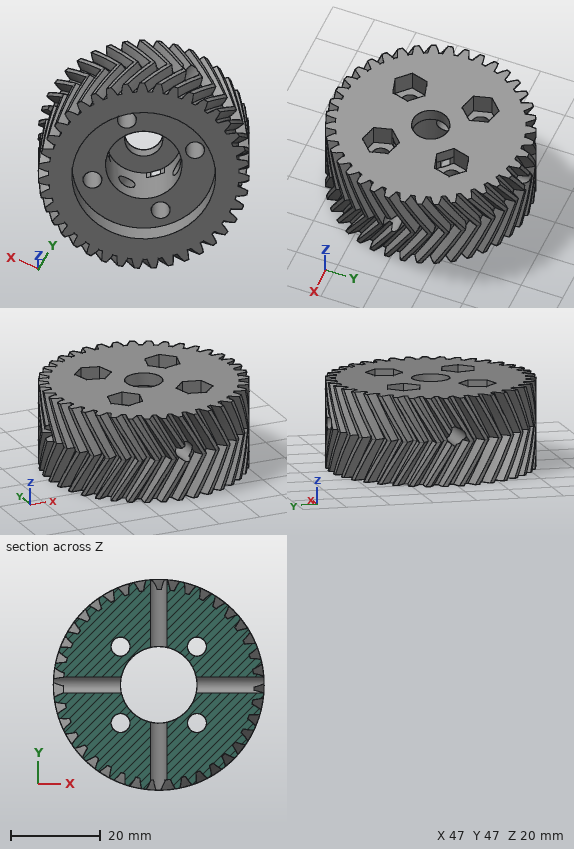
import cadquery as cq
import math

tooth_count = 39
outer_radius = 23.5
root_radius = 21.25
height = 20.0
half_height = height / 2
half_twist = 15.0
first_tooth_angle = 90.0

tip_half_angle = 1.3
middle_half_angle = 2.45
root_half_angle = 3.4

bore_diameter = 8.5
hub_recess_diameter = 17.0
hub_recess_roof = 3.0
rim_recess_diameter = 32.0
rim_recess_depth = height / 4

bolt_offset = 8.5
bolt_hole_diameter = 4.2
nut_flats = 7.2
nut_diameter = nut_flats / math.cos(math.pi / 6)
nut_pocket_depth = height / 4
nut_corner_angle = 15.0

radial_hole_diameter = 4.0
radial_hole_z = (rim_recess_depth - hub_recess_roof) / 2


def polar(radius, degrees):
    angle = math.radians(degrees)
    return (radius * math.cos(angle), radius * math.sin(angle))


def gear_outline(plane):
    """Closed tooth outline: curved flanks joined by tip and root arcs."""
    pitch = 360 / tooth_count
    middle_radius = (outer_radius + root_radius) / 2
    outline = plane.moveTo(*polar(root_radius, first_tooth_angle - root_half_angle))
    for tooth in range(tooth_count):
        centre = first_tooth_angle + tooth * pitch
        outline = (
            outline
            .threePointArc(
                polar(middle_radius, centre - middle_half_angle),
                polar(outer_radius, centre - tip_half_angle),
            )
            .threePointArc(
                polar(outer_radius, centre),
                polar(outer_radius, centre + tip_half_angle),
            )
            .threePointArc(
                polar(middle_radius, centre + middle_half_angle),
                polar(root_radius, centre + root_half_angle),
            )
            .threePointArc(
                polar(root_radius, centre + pitch / 2),
                polar(root_radius, centre + pitch - root_half_angle),
            )
        )
    return outline.close()


def herringbone_body():
    """Two mirrored helical halves that meet in a V at the mid plane."""
    mid_plane = cq.Workplane("XY").transformed(rotate=(0, 0, half_twist))
    upper = gear_outline(mid_plane).twistExtrude(half_height, -half_twist)
    return upper.union(upper.mirror("XY"))


def axial_cutter(diameter, depth):
    """Cylinder on the gear axis, reaching up from the bottom face."""
    return cq.Workplane("XY", origin=(0, 0, -half_height)).circle(diameter / 2).extrude(depth)


def nut_pocket(x_side, y_side):
    """Hexagonal pocket; neighbouring pockets are mirror images of each other."""
    corner_angle = nut_corner_angle * x_side * y_side
    return (
        cq.Workplane("XY")
        .polygon(6, nut_diameter)
        .extrude(nut_pocket_depth)
        .rotate((0, 0, 0), (0, 0, 1), corner_angle)
        .translate((x_side * bolt_offset, y_side * bolt_offset, half_height - nut_pocket_depth))
    )


def radial_hole(plane_name):
    """Hole straight across the gear, normal to the named plane."""
    return (
        cq.Workplane(plane_name, origin=(0, 0, radial_hole_z))
        .circle(radial_hole_diameter / 2)
        .extrude(outer_radius, both=True)
    )


result = herringbone_body()

result = result.cut(axial_cutter(bore_diameter, height))
result = result.cut(axial_cutter(hub_recess_diameter, height - hub_recess_roof))
result = result.cut(axial_cutter(rim_recess_diameter, rim_recess_depth))

bolt_holes = (
    cq.Workplane("XY", origin=(0, 0, -half_height))
    .rect(2 * bolt_offset, 2 * bolt_offset, forConstruction=True)
    .vertices()
    .circle(bolt_hole_diameter / 2)
    .extrude(height)
)
result = result.cut(bolt_holes)

for x_side in (-1, 1):
    for y_side in (-1, 1):
        result = result.cut(nut_pocket(x_side, y_side))

for plane_name in ("XZ", "YZ"):
    result = result.cut(radial_hole(plane_name))